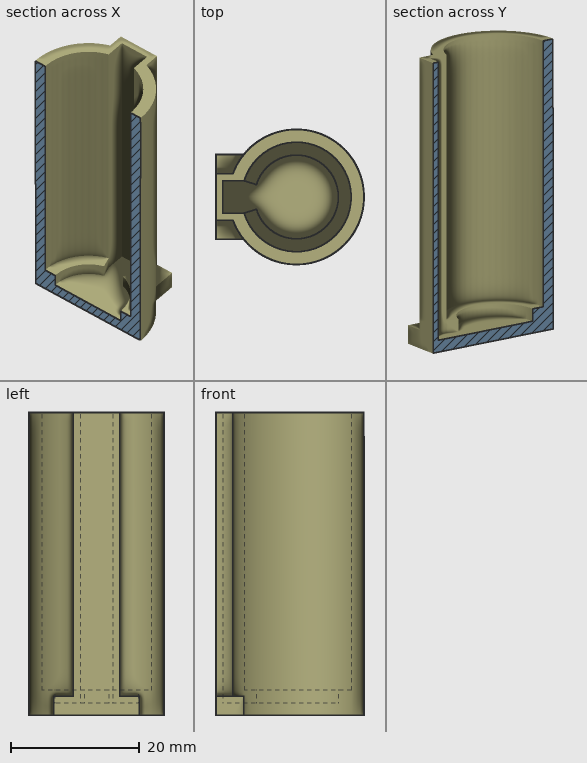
import cadquery as cq
import math

height = 47.0
outer_radius = 10.5
tube_wall = 2.0
bore_radius = outer_radius - tube_wall
floor_thickness = 2.0

rib_face_x = -12.5
rib_wall = 1.1
channel_width = 5.0
rib_width = channel_width + 2 * rib_wall

foot_width = 13.2
foot_height = 3.0

ledge_width = 2.0
ledge_inner_radius = bore_radius - ledge_width
ledge_height = 2.0
gap_half_angle = math.asin(channel_width / 2 / bore_radius)


def cylinder(radius, bottom, length):
    """Cylinder on the Z axis starting at the given height."""
    return cq.Workplane("XY").workplane(offset=bottom).circle(radius).extrude(length)


def block_to_axis(start_x, width, bottom, length):
    """Block from start_x to the tube axis, centred on Y = 0."""
    return (
        cq.Workplane("XY")
        .box(-start_x, width, length, centered=(False, True, False))
        .translate((start_x, 0, bottom))
    )


def make_body():
    """Solid tube, rib and foot."""
    tube = cylinder(outer_radius, 0, height)
    rib = block_to_axis(rib_face_x, rib_width, 0, height)
    foot = block_to_axis(rib_face_x, foot_width, 0, foot_height)
    return tube.union(rib).union(foot)


def make_cavity():
    """Bore and channel, both ending at the floor."""
    depth = height - floor_thickness
    bore = cylinder(bore_radius, floor_thickness, depth)
    channel = block_to_axis(rib_face_x + rib_wall, channel_width, floor_thickness, depth)
    return bore.union(channel)


def make_ledge():
    """Ring on the floor with a wedge removed towards -X."""
    ring = cylinder(bore_radius, floor_thickness, ledge_height).cut(
        cylinder(ledge_inner_radius, floor_thickness, ledge_height)
    )
    gap_half_width = outer_radius * math.tan(gap_half_angle)
    gap = (
        cq.Workplane("XY")
        .workplane(offset=floor_thickness)
        .polyline([(0, 0), (-outer_radius, gap_half_width), (-outer_radius, -gap_half_width)])
        .close()
        .extrude(ledge_height)
    )
    return ring.cut(gap)


result = make_body().cut(make_cavity()).union(make_ledge())